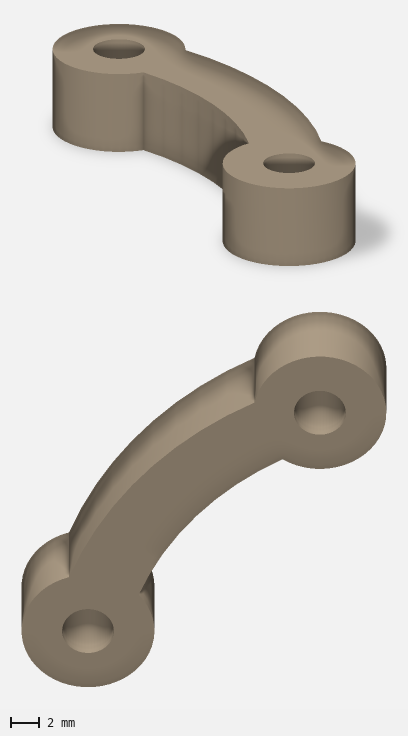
import cadquery as cq
import math

length = 33.2
thickness = 5.8
boss_diameter = 9.2
hole_diameter = 3.6
arm_width = 5.0

boss_spacing = length - boss_diameter
arm_radius = boss_spacing
half_angle = math.asin(boss_spacing / 2 / arm_radius)
arc_center_y = -arm_radius * math.cos(half_angle)
boss_centers = [(-boss_spacing / 2, 0), (boss_spacing / 2, 0)]


def arc_point(radius, angle):
    """Point on an arc about the arm's centre, with the angle taken from +Y toward +X."""
    return (radius * math.sin(angle), arc_center_y + radius * math.cos(angle))


def curved_arm():
    """Concentric band whose radial ends lie inside the bosses."""
    outer = arm_radius + arm_width / 2
    inner = arm_radius - arm_width / 2
    return (
        cq.Workplane("XY")
        .moveTo(*arc_point(outer, -half_angle))
        .threePointArc(arc_point(outer, 0), arc_point(outer, half_angle))
        .lineTo(*arc_point(inner, half_angle))
        .threePointArc(arc_point(inner, 0), arc_point(inner, -half_angle))
        .close()
        .extrude(thickness)
    )


def end_cylinders(diameter):
    """Full-height cylinders at both boss centres."""
    return cq.Workplane("XY").pushPoints(boss_centers).circle(diameter / 2).extrude(thickness)


result = curved_arm().union(end_cylinders(boss_diameter)).cut(end_cylinders(hole_diameter))